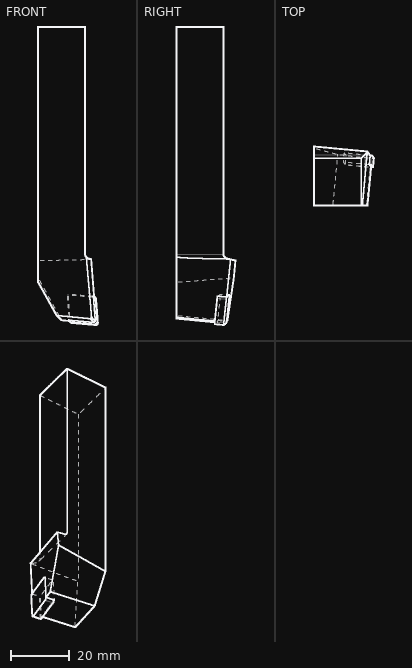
import cadquery as cq
import math

total_length = 101.4
shank_width = 16.0

rake_lean_x = 5.5
rake_lean_z = 5.5
edge_lead = 5.0
insert_overhang = 0.6
corner_chamfer = 0.5
bevel_angle = 29.2
bevel_foot = 12.6
nose_x = 20.5
nose_y = 16.0
nose_z = -0.1
head_reach = 40.5

shoulder_height = 22.9
shoulder_slope = 13.0
shoulder_fillet = 1.5

insert_circle = 9.5
insert_thickness = 3.1
insert_nose_radius = 0.8

lead = math.radians(edge_lead)
lean_x = math.tan(math.radians(rake_lean_x))
lean_z = math.tan(math.radians(rake_lean_z))
rake_plane = cq.Plane(
    origin=(nose_x, nose_y, nose_z),
    xDir=(1, -lean_x, 0),
    normal=(-lean_x, -1, lean_z),
)


def make_insert():
    corner_angle = math.pi / 2 - 2 * lead
    side = insert_circle / math.sin(corner_angle)
    up = (-side * math.sin(lead), side * math.cos(lead))
    back = (-side * math.cos(lead), side * math.sin(lead))
    far = (up[0] + back[0], up[1] + back[1])
    blank = cq.Workplane(rake_plane).polyline([(0, 0), up, far, back]).close().extrude(insert_thickness)
    return blank.edges(cq.selectors.ParallelDirSelector(rake_plane.zDir)).fillet(insert_nose_radius)


def make_head():
    inset = insert_overhang / (math.cos(lead) - math.sin(lead))
    corner = (-inset, inset)
    flank_top = (corner[0] - head_reach * math.tan(lead), corner[1] + head_reach)
    bevel_run = bevel_foot - inset
    foot = (corner[0] - bevel_run, corner[1] + bevel_run * math.tan(lead))
    bevel_rise = head_reach / math.tan(math.radians(bevel_angle))
    bevel_top = (foot[0] - head_reach, foot[1] + bevel_rise)
    cut_back = corner_chamfer * math.cos(lead)
    cut_side = corner_chamfer * math.sin(lead)
    outline = [
        (corner[0] - cut_side, corner[1] + cut_back),
        flank_top,
        bevel_top,
        foot,
        (corner[0] - cut_back, corner[1] + cut_side),
    ]
    return cq.Workplane(rake_plane).polyline(outline).close().extrude(head_reach)


def shoulder_relief(plane_name, direction):
    slope = math.radians(shoulder_slope)
    tangent_run = shoulder_fillet * (1 - math.sin(slope))
    centre = (
        shank_width + shoulder_fillet,
        shoulder_height + shoulder_fillet / math.cos(slope) - shoulder_fillet * math.tan(slope),
    )
    fillet_end = (shank_width + tangent_run, shoulder_height - tangent_run * math.tan(slope))
    mid_angle = math.pi + (math.pi / 2 - slope) / 2
    fillet_mid = (
        centre[0] + shoulder_fillet * math.cos(mid_angle),
        centre[1] + shoulder_fillet * math.sin(mid_angle),
    )
    outer = shank_width + head_reach
    outer_height = shoulder_height - head_reach * math.tan(slope)
    return (
        cq.Workplane(plane_name)
        .moveTo(shank_width, centre[1])
        .threePointArc(fillet_mid, fillet_end)
        .lineTo(outer, outer_height)
        .lineTo(outer, total_length)
        .lineTo(shank_width, total_length)
        .close()
        .extrude(direction * head_reach)
    )


def make_holder(insert):
    shank_space = cq.Workplane("XY").box(head_reach, head_reach, total_length, centered=False)
    head = make_head().intersect(shank_space)
    head = head.cut(shoulder_relief("YZ", 1)).cut(shoulder_relief("XZ", -1))
    shank = (
        cq.Workplane("XY")
        .workplane(offset=shoulder_height)
        .rect(shank_width, shank_width, centered=False)
        .extrude(total_length - shoulder_height)
    )
    return head.union(shank).cut(insert)


insert = make_insert()
holder = make_holder(insert)
result = cq.Compound.makeCompound([holder.solids().val(), insert.solids().val()])